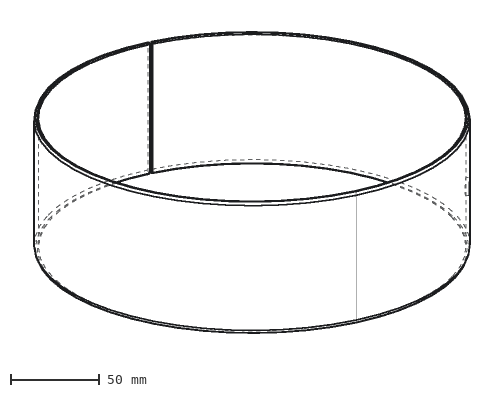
import cadquery as cq

outer_radius = 122.5
wall = 2.5
height = 80.0

outer_chamfer_width = 0.7
outer_chamfer_height = 2.0
inner_chamfer = 0.7

slit_width = 2.0

hole_diameter = 10.0
hole_angle = 58.9


def make_ring():
    """Thin ring with chamfered rims, centred on the origin."""
    inner_radius = outer_radius - wall
    half_height = height / 2
    upper_profile = [
        (outer_radius, half_height - outer_chamfer_height),
        (outer_radius - outer_chamfer_width, half_height),
        (inner_radius + inner_chamfer, half_height),
        (inner_radius, half_height - inner_chamfer),
    ]
    lower_profile = [(radius, -z) for radius, z in reversed(upper_profile)]
    return (
        cq.Workplane("XZ")
        .polyline(upper_profile + lower_profile)
        .close()
        .revolve(360, (0, 0), (0, 1))
    )


def make_slit():
    """Full-height cutter that opens the ring on the -X side."""
    radial_length = 4 * wall
    return (
        cq.Workplane("XY")
        .box(radial_length, slit_width, height, centered=(True, False, True))
        .translate((-outer_radius, 0, 0))
    )


def make_hole():
    """Radial cylinder from the ring axis out through one wall."""
    return (
        cq.Workplane("YZ")
        .circle(hole_diameter / 2)
        .extrude(outer_radius + wall)
        .rotate((0, 0, 0), (0, 0, 1), hole_angle)
    )


result = make_ring().cut(make_slit()).cut(make_hole())